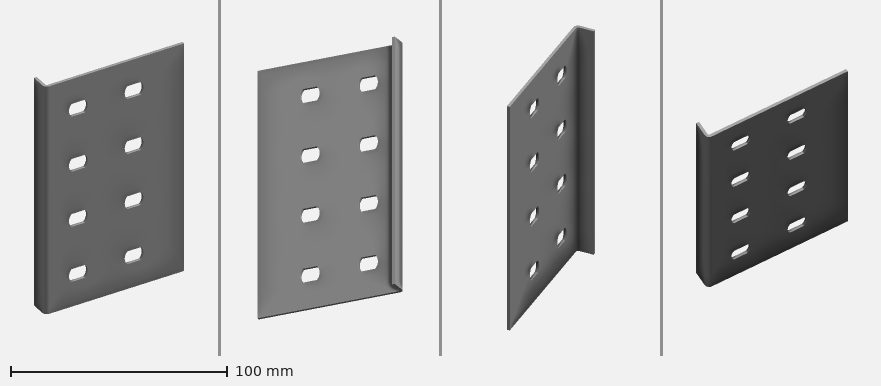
import cadquery as cq

flange_width = 10.0
plate_width = 75.0
height = 124.0

thickness = 1.5
inner_radius = 1.0
outer_radius = inner_radius + thickness

hole_diameter = 10.0
hole_flat_height = 7.0
hole_pitch = 30.0
hole_columns = 2
hole_rows = 4
first_column_offset = 18.0


def bent_plate():
    """L-shaped sheet: wide plate on the +X side, narrow flange on the -Y side."""
    profile = (
        cq.Workplane("XY")
        .moveTo(0, 0)
        .lineTo(flange_width - outer_radius, 0)
        .radiusArc((flange_width, outer_radius), -outer_radius)
        .lineTo(flange_width, plate_width)
        .lineTo(flange_width - thickness, plate_width)
        .lineTo(flange_width - thickness, outer_radius)
        .radiusArc((flange_width - outer_radius, thickness), inner_radius)
        .lineTo(0, thickness)
        .close()
    )
    return profile.extrude(height)


def hole_cutters():
    """Flat-sided round cutters passing through the plate along X."""
    last_row_offset = (hole_rows - 1) / 2 * hole_pitch
    centers = [
        (first_column_offset + column * hole_pitch, height / 2 - last_row_offset + row * hole_pitch)
        for column in range(hole_columns)
        for row in range(hole_rows)
    ]
    face = cq.Workplane("YZ", origin=(flange_width - thickness, 0, 0)).pushPoints(centers)
    rounds = face.circle(hole_diameter / 2).extrude(thickness)
    flats = face.rect(hole_diameter, hole_flat_height).extrude(thickness)
    return rounds.intersect(flats)


result = bent_plate().cut(hole_cutters())